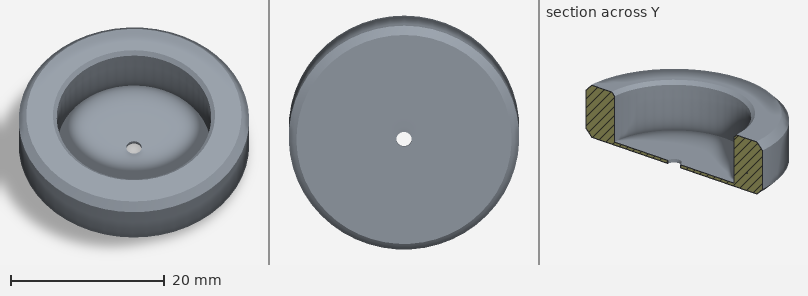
import cadquery as cq

outer_diameter = 30.0
height = 7.5
outer_chamfer = 1.0
pocket_diameter = 20.1
pocket_chamfer = 0.5
floor_thickness = 0.5
hole_diameter = 2.0

pocket_depth = height - floor_thickness


def make_disc():
    """Round disc resting on Z = 0, chamfered on both outer rims."""
    disc = cq.Workplane("XY").circle(outer_diameter / 2).extrude(height)
    return disc.faces("<Z or >Z").edges().chamfer(outer_chamfer)


def cut_pocket(body):
    """Blind round pocket from the top face with a chamfered mouth."""
    pocketed = body.faces(">Z").workplane().hole(pocket_diameter, pocket_depth)
    mouth_edge = pocketed.faces(">Z").edges(cq.selectors.RadiusNthSelector(0))
    return mouth_edge.chamfer(pocket_chamfer)


def cut_center_hole(body):
    """Small hole through the pocket floor."""
    return body.faces("<Z").workplane().hole(hole_diameter)


disc = make_disc()
cup = cut_pocket(disc)
result = cut_center_hole(cup)